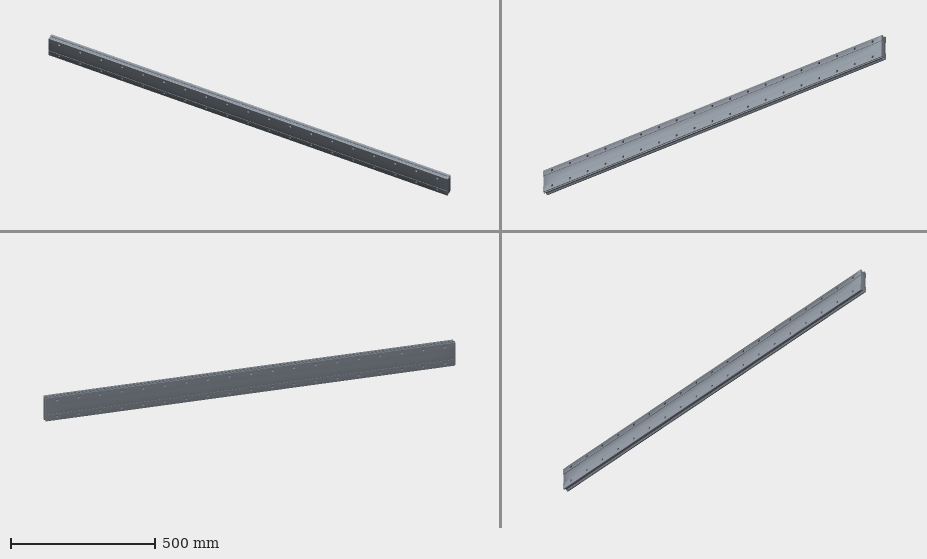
import cadquery as cq

length = 1520.0
thickness = 25.0
height = 90.0
front_edge_chamfer = 0.9

holes_per_row = 19
hole_pitch = length / holes_per_row
hole_inset = 14.9
row_spacing = height - 2 * hole_inset
hole_diameter = 9.0

groove_width = 6.8
groove_depth = 5.0
groove_flare = 3.0
groove_offset = -1.2

rabbet_width = 3.8
rabbet_depth = 3.0

relief_height = 41.0
relief_depth = 2.0


def make_bar():
    """Plain bar with the two long edges of the front face broken."""
    bar = cq.Workplane("XY").box(length, thickness, height)
    return bar.faces("<Y").edges("|X").chamfer(front_edge_chamfer)


def make_edge_groove(side):
    """Straight-walled groove with a 45-degree flared mouth; side is +1 for top, -1 for bottom."""
    half_width = groove_width / 2
    half_mouth = half_width + groove_flare
    mouth_z = side * height / 2
    flare_z = mouth_z - side * groove_flare
    floor_z = mouth_z - side * groove_depth
    left_half = [(-half_mouth, mouth_z), (-half_width, flare_z), (-half_width, floor_z)]
    right_half = [(-y, z) for y, z in reversed(left_half)]
    groove = cq.Workplane("YZ").polyline(left_half + right_half).close().extrude(length / 2, both=True)
    return groove.translate((0, groove_offset, 0))


def make_back_rabbet(side):
    """Square step in one long edge of the back face; side is +1 for top, -1 for bottom."""
    middle_y = (thickness - rabbet_width) / 2
    middle_z = side * (height - rabbet_depth) / 2
    return cq.Workplane("XY").box(length, rabbet_width, rabbet_depth).translate((0, middle_y, middle_z))


def make_relief(side):
    """Full-length shallow channel; side is +1 for the back face, -1 for the front face."""
    middle_y = side * (thickness - relief_depth) / 2
    return cq.Workplane("XY").box(length, relief_depth, relief_height).translate((0, middle_y, 0))


def make_bolt_holes():
    return (
        cq.Workplane("XZ", origin=(0, thickness / 2, 0))
        .rarray(hole_pitch, row_spacing, holes_per_row, 2)
        .circle(hole_diameter / 2)
        .extrude(thickness)
    )


result = make_bar()
for side in (1, -1):
    result = result.cut(make_edge_groove(side))
    result = result.cut(make_back_rabbet(side))
    result = result.cut(make_relief(side))
result = result.cut(make_bolt_holes())